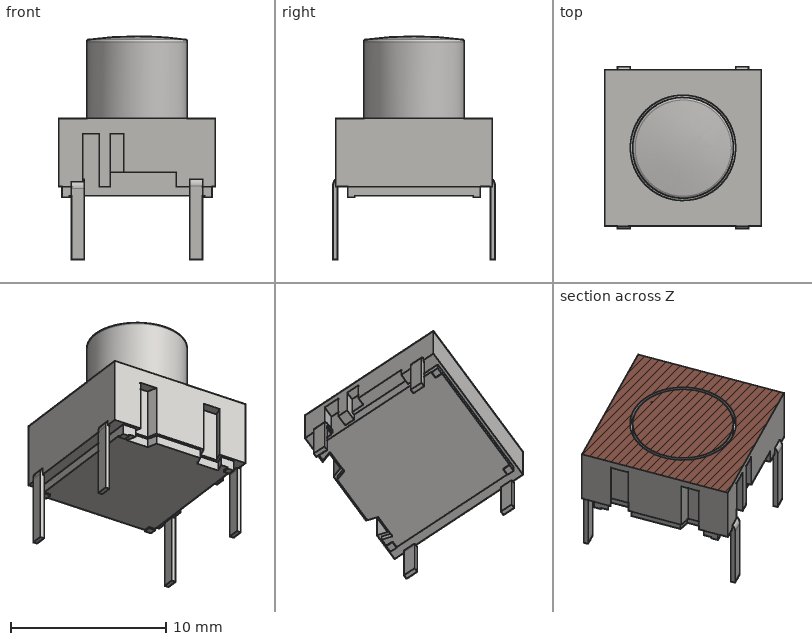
import cadquery as cq
import math

LEAD_TIP_Z = -4.0
BASE_BOTTOM_Z = 0.1
COVER_BOTTOM_Z = 0.7
COVER_TOP_Z = 5.1
DOME_TOP_Z = 10.4
ROOF_THICKNESS = 1.0
ROOF_BOTTOM_Z = COVER_TOP_Z - ROOF_THICKNESS

COVER_SIDE = 10.1
COVER_HALF = COVER_SIDE / 2
BASE_HALF_X = 4.85
BASE_HALF_Y = 4.28
FRONT_WALL = COVER_HALF - BASE_HALF_Y
FOOT_X = 0.5
FOOT_Y = 0.47

BUTTON_DIAMETER = 6.5
BUTTON_HOLE_DIAMETER = 6.8
BUTTON_EDGE_RADIUS = 0.15
DOME_RISE = 0.21

LEAD_SLOT_LEFT_X = -3.5
LEAD_SLOT_RIGHT_X = -2.42
NOTCH_LEFT_X = -1.73
NOTCH_RIGHT_X = 2.52
NOTCH_HEIGHT = 0.93
SHALLOW_SLOT_RIGHT_X = -0.85
SHALLOW_SLOT_DEPTH = 0.55

SIDE_GROOVE_DEPTH = 0.7
GROOVE_SLANT = 0.22
COVER_GROOVE_INNER_Y = 1.83
COVER_GROOVE_OUTER_Y = 3.05
BASE_GROOVE_INNER_Y = 1.69
BASE_GROOVE_OUTER_Y = 3.3

LEAD_SPAN_Y = 10.46
LEAD_OUTER_Y = LEAD_SPAN_Y / 2
LEAD_CENTER_X = 3.81
LEAD_WIDTH = 0.85
LEAD_THICKNESS = 0.3
LEAD_INNER_RADIUS = 0.3
LEAD_OUTER_RADIUS = LEAD_INNER_RADIUS + LEAD_THICKNESS
LEAD_ROOT_Y = 4.0
LEFT_BEND_START_Z = 0.59
RIGHT_BEND_START_Z = 0.75


def box(x0, x1, y0, y1, z0, z1):
    """Box between opposite corners."""
    return cq.Workplane("XY").box(x1 - x0, y1 - y0, z1 - z0, centered=False).translate((x0, y0, z0))


def side_groove(side, face_x, inner_y, outer_y, z0, z1):
    """Groove volume sunk into a -X face, slanting away from the middle of the part."""
    floor_x = face_x + SIDE_GROOVE_DEPTH
    outline = [
        (face_x, side * inner_y),
        (floor_x, side * (inner_y + GROOVE_SLANT)),
        (floor_x, side * (outer_y + GROOVE_SLANT)),
        (face_x, side * outer_y),
    ]
    return cq.Workplane("XY").workplane(offset=z0).polyline(outline).close().extrude(z1 - z0)


def front_opening(x0, x1, depth, top_z):
    """Opening in the front wall, running up from the cover's lower edge."""
    return box(x0, x1, -COVER_HALF, depth - COVER_HALF, COVER_BOTTOM_Z, top_z)


def make_cover():
    cover = box(-COVER_HALF, COVER_HALF, -COVER_HALF, COVER_HALF, COVER_BOTTOM_Z, COVER_TOP_Z)
    cover = cover.cut(front_opening(LEAD_SLOT_LEFT_X, LEAD_SLOT_RIGHT_X, FRONT_WALL, ROOF_BOTTOM_Z))
    cover = cover.cut(front_opening(NOTCH_LEFT_X, NOTCH_RIGHT_X, FRONT_WALL, COVER_BOTTOM_Z + NOTCH_HEIGHT))
    cover = cover.cut(front_opening(NOTCH_LEFT_X, SHALLOW_SLOT_RIGHT_X, SHALLOW_SLOT_DEPTH, ROOF_BOTTOM_Z))
    for side in (-1, 1):
        cover = cover.cut(side_groove(side, -COVER_HALF, COVER_GROOVE_INNER_Y, COVER_GROOVE_OUTER_Y,
                                      COVER_BOTTOM_Z, ROOF_BOTTOM_Z))
    hole = cq.Workplane("XY").workplane(offset=ROOF_BOTTOM_Z).circle(BUTTON_HOLE_DIAMETER / 2)
    return cover.cut(hole.extrude(ROOF_THICKNESS))


def make_base():
    """Part of the base below the cover, with a foot at each corner."""
    base = box(-BASE_HALF_X, BASE_HALF_X, -BASE_HALF_Y, BASE_HALF_Y, BASE_BOTTOM_Z, COVER_BOTTOM_Z)
    for side in (-1, 1):
        base = base.cut(side_groove(side, -BASE_HALF_X, BASE_GROOVE_INNER_Y, BASE_GROOVE_OUTER_Y,
                                    BASE_BOTTOM_Z, COVER_BOTTOM_Z))
    foot_centers = cq.Workplane("XY").rect(2 * BASE_HALF_X - FOOT_X, 2 * BASE_HALF_Y - FOOT_Y,
                                           forConstruction=True).vertices()
    return base.union(foot_centers.rect(FOOT_X, FOOT_Y).extrude(COVER_BOTTOM_Z))


def make_button():
    """Cylinder with a rounded rim and a shallow spherical top, revolved about Z."""
    radius = BUTTON_DIAMETER / 2
    dome_radius = radius - BUTTON_EDGE_RADIUS
    rim_z = DOME_TOP_Z - DOME_RISE
    shoulder_z = rim_z - BUTTON_EDGE_RADIUS
    diagonal = BUTTON_EDGE_RADIUS * math.sqrt(0.5)
    sphere_radius = (dome_radius**2 + DOME_RISE**2) / (2 * DOME_RISE)
    mid_x = dome_radius / 2
    mid_z = DOME_TOP_Z - sphere_radius + math.sqrt(sphere_radius**2 - mid_x**2)
    profile = (
        cq.Workplane("XZ")
        .moveTo(0, ROOF_BOTTOM_Z)
        .lineTo(radius, ROOF_BOTTOM_Z)
        .lineTo(radius, shoulder_z)
        .threePointArc((dome_radius + diagonal, shoulder_z + diagonal), (dome_radius, rim_z))
        .threePointArc((mid_x, mid_z), (0, DOME_TOP_Z))
        .close()
    )
    return profile.revolve(360, (0, 0, 0), (0, 1, 0))


def make_lead(center_x, bend_start_z):
    """Lead on the +Y side: straight down, bent inward at the top into the body."""
    inner_y = LEAD_OUTER_Y - LEAD_THICKNESS
    bend_center_y = LEAD_OUTER_Y - LEAD_OUTER_RADIUS
    lower_z = bend_start_z + LEAD_INNER_RADIUS
    upper_z = bend_start_z + LEAD_OUTER_RADIUS
    outer_diagonal = LEAD_OUTER_RADIUS * math.sqrt(0.5)
    inner_diagonal = LEAD_INNER_RADIUS * math.sqrt(0.5)
    outer_bend_middle = (bend_center_y + outer_diagonal, bend_start_z + outer_diagonal)
    inner_bend_middle = (bend_center_y + inner_diagonal, bend_start_z + inner_diagonal)
    profile = (
        cq.Workplane("YZ")
        .moveTo(inner_y, LEAD_TIP_Z)
        .lineTo(LEAD_OUTER_Y, LEAD_TIP_Z)
        .lineTo(LEAD_OUTER_Y, bend_start_z)
        .threePointArc(outer_bend_middle, (bend_center_y, upper_z))
        .lineTo(LEAD_ROOT_Y, upper_z)
        .lineTo(LEAD_ROOT_Y, lower_z)
        .lineTo(bend_center_y, lower_z)
        .threePointArc(inner_bend_middle, (inner_y, bend_start_z))
        .close()
    )
    return profile.extrude(LEAD_WIDTH / 2, both=True).translate((center_x, 0, 0))


result = make_cover().union(make_base()).union(make_button())
for lead_x, lead_bend_z in ((-LEAD_CENTER_X, LEFT_BEND_START_Z), (LEAD_CENTER_X, RIGHT_BEND_START_Z)):
    lead = make_lead(lead_x, lead_bend_z)
    result = result.union(lead).union(lead.mirror("XZ"))